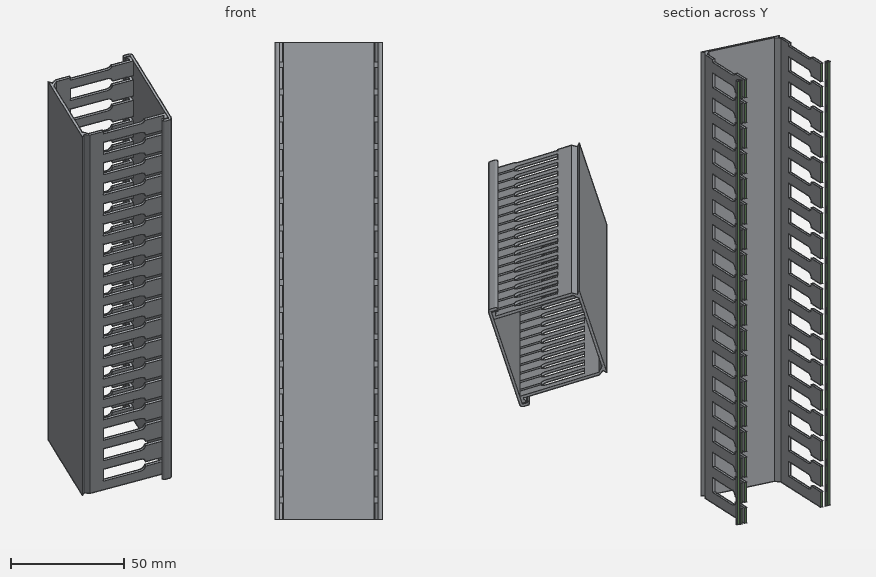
import cadquery as cq
import math

LENGTH = 210.5
COVER_WIDTH = 47.5
TOTAL_DEPTH = 41.2
DUCT_WIDTH = 40.0
SHEET = 1.3

COVER_CORNER_RADIUS = 1.5
HOOK_DEPTH = 4.5
HOOK_RADIUS = 1.0
HOOK_THICKNESS = 0.6
HOOK_ANGLE = math.radians(30)
HOOK_REACH = 0.8

LIP_CLEARANCE = 0.5

FOOT_HEIGHT = 3.5
FOOT_NOTCH = 1.37
FLOOR_BEVEL = 2.0

SLOT_COUNT = 18
SLOT_PITCH = 12.0
FIRST_SLOT_Z = 8.6
SLOT_HEIGHT = 7.0
NECK_HEIGHT = 2.5
SLOT_FLOOR = 10.0
SHOULDER_RADIUS = 2.5
SLOT_SHOULDER = 11.2

COVER_HALF = COVER_WIDTH / 2
DUCT_HALF = DUCT_WIDTH / 2
TOP_Y = TOTAL_DEPTH / 2
BOTTOM_Y = -TOTAL_DEPTH / 2
DUCT_TOP_Y = TOP_Y - SHEET
LEG_INNER_X = COVER_HALF - SHEET
HOOK_TIP_X = LEG_INNER_X - HOOK_REACH
HOOK_CENTRE_X = COVER_HALF - HOOK_RADIUS
HOOK_CENTRE_Y = TOP_Y - HOOK_DEPTH + HOOK_RADIUS

HOOK_SLOPE = math.tan(HOOK_ANGLE)
HOOK_TANGENT_X = HOOK_CENTRE_X - HOOK_RADIUS * math.sin(HOOK_ANGLE)
HOOK_TANGENT_Y = HOOK_CENTRE_Y - HOOK_RADIUS * math.cos(HOOK_ANGLE)
HOOK_TIP_Y = HOOK_TANGENT_Y + (HOOK_TANGENT_X - HOOK_TIP_X) * HOOK_SLOPE
HOOK_TIP_INNER_X = HOOK_TIP_X + HOOK_THICKNESS * math.sin(HOOK_ANGLE)
HOOK_TIP_INNER_Y = HOOK_TIP_Y + HOOK_THICKNESS * math.cos(HOOK_ANGLE)
LIP_EDGE_X = LEG_INNER_X - LIP_CLEARANCE
LIP_BOTTOM_Y = DUCT_TOP_Y - SHEET
LIP_BEVEL_X = HOOK_TIP_INNER_X - (LIP_BOTTOM_Y - HOOK_TIP_INNER_Y) / HOOK_SLOPE


def hook_inner_y(x):
    """Height of the inner face of the hook at a given X."""
    return HOOK_TIP_INNER_Y - (x - HOOK_TIP_INNER_X) * HOOK_SLOPE


def extrude_symmetric(half_profile):
    """Mirror a half section across the YZ plane and extrude it along the length."""
    half = half_profile.close().extrude(LENGTH)
    return half.union(half.mirror("YZ")).clean()


def make_cover():
    half_profile = (
        cq.Workplane("XY")
        .moveTo(0, TOP_Y)
        .lineTo(COVER_HALF - COVER_CORNER_RADIUS, TOP_Y)
        .radiusArc((COVER_HALF, TOP_Y - COVER_CORNER_RADIUS), COVER_CORNER_RADIUS)
        .lineTo(COVER_HALF, HOOK_CENTRE_Y)
        .threePointArc((HOOK_CENTRE_X, TOP_Y - HOOK_DEPTH), (HOOK_TANGENT_X, HOOK_TANGENT_Y))
        .lineTo(HOOK_TIP_X, HOOK_TIP_Y)
        .lineTo(HOOK_TIP_INNER_X, HOOK_TIP_INNER_Y)
        .lineTo(LEG_INNER_X, hook_inner_y(LEG_INNER_X))
        .lineTo(LEG_INNER_X, DUCT_TOP_Y)
        .lineTo(0, DUCT_TOP_Y)
    )
    return extrude_symmetric(half_profile)


def make_trough():
    inner_half = DUCT_HALF - SHEET
    floor_y = BOTTOM_Y + SHEET
    half_profile = (
        cq.Workplane("XY")
        .moveTo(0, BOTTOM_Y)
        .lineTo(DUCT_HALF, BOTTOM_Y)
        .lineTo(DUCT_HALF - FOOT_NOTCH, BOTTOM_Y + FOOT_NOTCH)
        .lineTo(DUCT_HALF, BOTTOM_Y + FOOT_HEIGHT)
        .lineTo(DUCT_HALF, LIP_BOTTOM_Y)
        .lineTo(LIP_BEVEL_X, LIP_BOTTOM_Y)
        .lineTo(LIP_EDGE_X, hook_inner_y(LIP_EDGE_X))
        .lineTo(LIP_EDGE_X, DUCT_TOP_Y)
        .lineTo(inner_half, DUCT_TOP_Y)
        .lineTo(inner_half, floor_y + FLOOR_BEVEL)
        .lineTo(inner_half - FLOOR_BEVEL, floor_y)
        .lineTo(0, floor_y)
    )
    return extrude_symmetric(half_profile)


def make_slot_cutter(centre_z):
    """One slot through both side walls: a wide body, rounded shoulders and a neck."""
    half_body = SLOT_HEIGHT / 2
    half_neck = NECK_HEIGHT / 2
    closed_y = BOTTOM_Y + SLOT_FLOOR
    shoulder_y = TOP_Y - SLOT_SHOULDER
    arc_centre_height = half_body - SHOULDER_RADIUS
    shoulder_length = math.sqrt(SHOULDER_RADIUS**2 - (half_neck - arc_centre_height) ** 2)
    body_end_y = shoulder_y - shoulder_length
    return (
        cq.Workplane("YZ")
        .moveTo(closed_y, centre_z - half_body)
        .lineTo(body_end_y, centre_z - half_body)
        .radiusArc((shoulder_y, centre_z - half_neck), -SHOULDER_RADIUS)
        .lineTo(TOP_Y, centre_z - half_neck)
        .lineTo(TOP_Y, centre_z + half_neck)
        .lineTo(shoulder_y, centre_z + half_neck)
        .radiusArc((body_end_y, centre_z + half_body), -SHOULDER_RADIUS)
        .lineTo(closed_y, centre_z + half_body)
        .close()
        .extrude(COVER_HALF, both=True)
    )


def make_duct():
    duct = make_trough()
    for index in range(SLOT_COUNT):
        duct = duct.cut(make_slot_cutter(FIRST_SLOT_Z + index * SLOT_PITCH))
    return duct


cover = make_cover()
duct = make_duct()
result = cq.Compound.makeCompound([cover.val(), duct.val()])